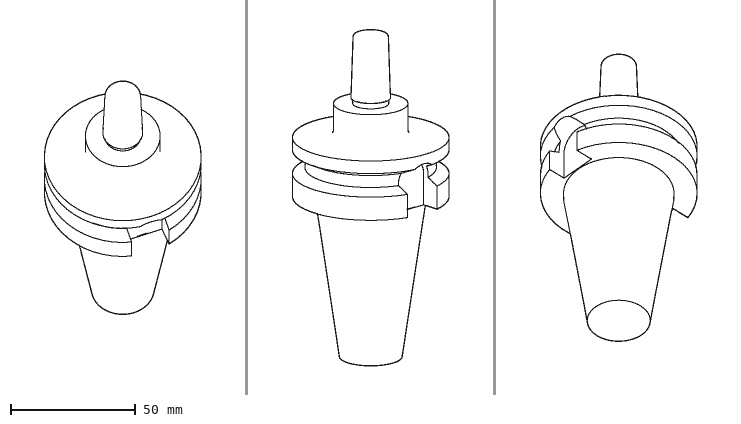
import cadquery as cq

total_height = 135.8

gauge_radius = 44.4 / 2
taper_length = 65.3
taper_end_radius = gauge_radius - taper_length * 7 / 24 / 2

flange_radius = 63.0 / 2
flange_bottom = 67.4
flange_top = 92.3
groove_radius = 52.8 / 2
groove_floor_bottom = 79.6
groove_floor_top = 84.6
groove_mouth_bottom = 77.1
groove_mouth_top = 87.0

boss_radius = 30.0 / 2
boss_top = 106.6
boss_fillet = 3.0

neck_radius = 14.5 / 2
spigot_bottom = 109.0
spigot_bottom_radius = 16.0 / 2
spigot_top_radius = 14.3 / 2
spigot_fillet = 1.4

slot_width = 16.2
slot_top = 88.5
slot_floor_distance = 22.5


def make_body():
    """Revolve the complete holder profile about Z."""
    profile = (
        cq.Workplane("XZ")
        .moveTo(0, 0)
        .lineTo(taper_end_radius, 0)
        .lineTo(gauge_radius, taper_length)
        .lineTo(gauge_radius, flange_bottom)
        .lineTo(flange_radius, flange_bottom)
        .lineTo(flange_radius, groove_mouth_bottom)
        .lineTo(groove_radius, groove_floor_bottom)
        .lineTo(groove_radius, groove_floor_top)
        .lineTo(flange_radius, groove_mouth_top)
        .lineTo(flange_radius, flange_top)
        .lineTo(boss_radius + boss_fillet, flange_top)
        .radiusArc((boss_radius, flange_top + boss_fillet), boss_fillet)
        .lineTo(boss_radius, boss_top)
        .lineTo(neck_radius, boss_top)
        .lineTo(neck_radius, spigot_bottom)
        .lineTo(spigot_bottom_radius, spigot_bottom)
        .lineTo(spigot_top_radius, total_height)
        .lineTo(0, total_height)
        .close()
    )
    body = profile.revolve(360, (0, 0, 0), (0, 1, 0))
    return body.faces(">Z").edges().fillet(spigot_fillet)


def make_drive_slot(side):
    """Cutter for the drive slot on the +X (side = 1) or -X (side = -1) flank."""
    half_width = slot_width / 2
    arch_spring = slot_top - half_width
    return (
        cq.Workplane("YZ")
        .workplane(offset=side * slot_floor_distance)
        .moveTo(-half_width, flange_bottom)
        .lineTo(-half_width, arch_spring)
        .threePointArc((0, slot_top), (half_width, arch_spring))
        .lineTo(half_width, flange_bottom)
        .close()
        .extrude(side * flange_radius)
    )


result = make_body()
for slot_side in (-1, 1):
    result = result.cut(make_drive_slot(slot_side))